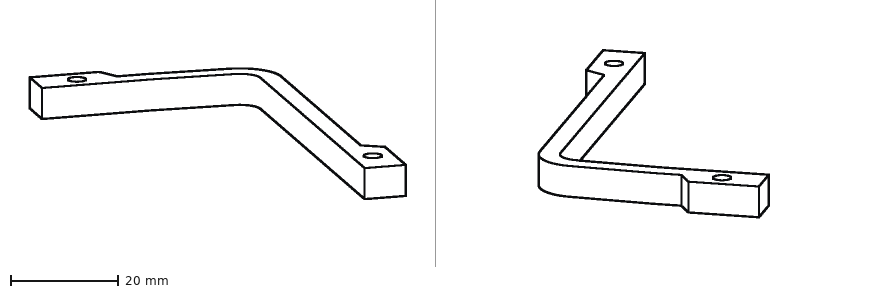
import cadquery as cq
import math

length = 80.0
depth = 49.0
thickness = 6.0

arm_width = 4.0
tab_width = 8.0
tab_length = 13.5
tab_ramp_angle = 30.0
tab_ramp_run = (tab_width - arm_width) * math.tan(math.radians(tab_ramp_angle))
tab_step = tab_width - arm_width

hole_diameter = 3.4
hole_from_end = 8.0

lean_angle = 2.9
lean_start = 21.3
inner_bend_radius = 4.0
outer_bend_radius = inner_bend_radius + arm_width

lean_slope = math.tan(math.radians(lean_angle))
inner_lean_start = lean_start - arm_width * math.tan(math.radians(lean_angle / 2))

long_arm_outer = depth - tab_step
long_arm_inner = depth - tab_width
outer_corner = (tab_step + (long_arm_outer - lean_start) * lean_slope, long_arm_outer)
inner_corner = (tab_width + (long_arm_inner - inner_lean_start) * lean_slope, long_arm_inner)


def strip_with_tabs():
    """L-shaped strip with a tab at each end and a sharp corner."""
    outline = [
        (0, 0),
        (tab_width, 0),
        (tab_width, inner_lean_start),
        inner_corner,
        (length, long_arm_inner),
        (length, depth),
        (length - tab_length, depth),
        (length - tab_length - tab_ramp_run, long_arm_outer),
        outer_corner,
        (tab_step, lean_start),
        (tab_step, tab_length + tab_ramp_run),
        (0, tab_length),
    ]
    return cq.Workplane("XY").polyline(outline).close().extrude(thickness)


def round_corner(body, corner, radius):
    """Round the vertical edge standing at the given corner."""
    edge_middle = (corner[0], corner[1], thickness / 2)
    return body.edges(cq.selectors.NearestToPointSelector(edge_middle)).fillet(radius)


def tab_holes():
    """Through-hole cylinders for both tabs."""
    centers = [
        (tab_step, hole_from_end),
        (length - hole_from_end, long_arm_outer),
    ]
    return cq.Workplane("XY").pushPoints(centers).circle(hole_diameter / 2).extrude(thickness)


bracket = strip_with_tabs()
bracket = round_corner(bracket, outer_corner, outer_bend_radius)
bracket = round_corner(bracket, inner_corner, inner_bend_radius)
result = bracket.cut(tab_holes())